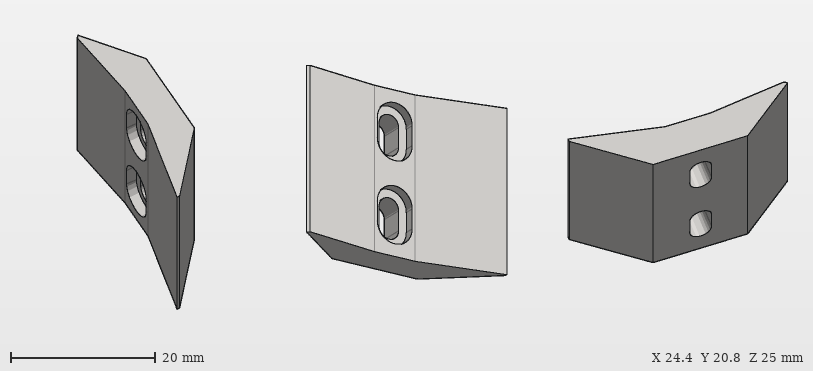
import cadquery as cq
import math

width = 24.38
depth = 20.8
height = 25.0

back_corner = (10.35, 0)
outer_corner = (21.4, -8.55)
right_tip_back = (width, -20.4)
right_tip_front = (24.15, -depth)
inner_right = (15.2, -10.5)
inner_left = (9.92, -6.4)
left_tip_front = (0.1, -0.5)

slot_straight = 3.0
head_width = 5.7
shank_width = 3.2
head_depth = 1.55
slot_levels = (height / 4, height * 3 / 4)
cut_through = 10.0

plate = (
    cq.Workplane("XY")
    .polyline([
        (0, 0),
        back_corner,
        outer_corner,
        right_tip_back,
        right_tip_front,
        inner_right,
        inner_left,
        left_tip_front,
    ])
    .close()
    .extrude(height)
)

face_x = (inner_left[0] + inner_right[0]) / 2
face_y = (inner_left[1] + inner_right[1]) / 2
run_x = inner_right[0] - inner_left[0]
run_y = inner_right[1] - inner_left[1]
face_length = math.hypot(run_x, run_y)
inward = (-run_y / face_length, run_x / face_length, 0)


def slot_cutter(level, slot_width, cut_depth):
    """Upright slot sunk square into the middle inner face."""
    face = cq.Plane(origin=(face_x, face_y, level), xDir=(run_x, run_y, 0), normal=inward)
    return (
        cq.Workplane(face)
        .slot2D(slot_straight + slot_width, slot_width, 90)
        .extrude(cut_depth)
    )


result = plate
for level in slot_levels:
    result = result.cut(slot_cutter(level, head_width, head_depth))
    result = result.cut(slot_cutter(level, shank_width, cut_through))